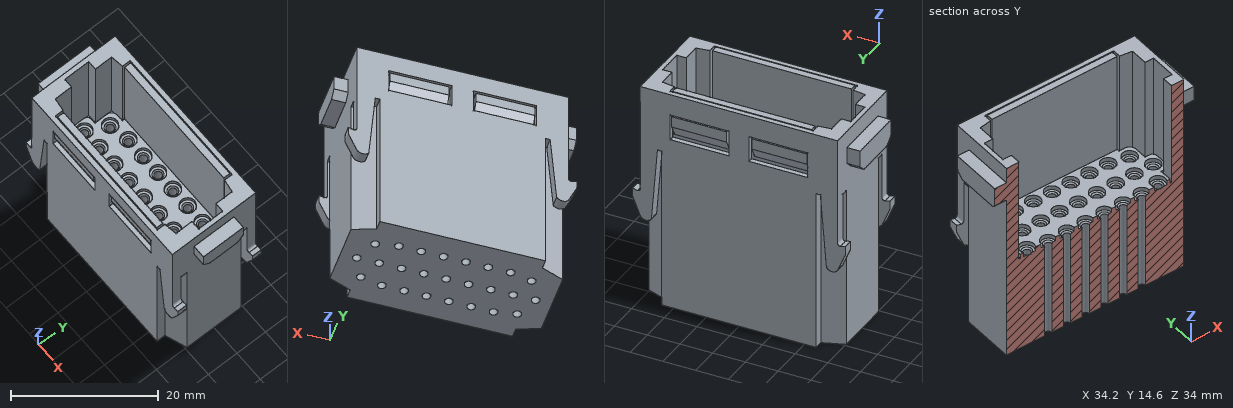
import cadquery as cq

overall_length = 34.2
height = 34.0
body_length = 30.15
body_width = 14.6
half_length = body_length / 2
half_width = body_width / 2

relief_top = 24.6
panel_half_length = 11.8
relief_end_y = 4.72
relief_panel_y = 5.9

arm_inner_y = 5.78
arm_root_x = 12.45
arm_tip_inner_x = 13.37
arm_tip_shoulder_z = 13.3
arm_tip_z = 12.82
hook_reach = 1.2
hook_bottom_z = 16.15
hook_top_z = 17.45
hook_top_drop = 0.2
hook_root_radius = 0.4
hook_corner_radius = 0.35

key_top = 31.4
key_bottom = 27.87
key_chamfer_height = 1.0
key_chamfer_width = 1.1
left_key_width = 9.1
right_key_width = 6.98

floor_z = 17.1
trench_depth = 0.7
end_bay_x = 14.35
end_bay_y = 2.1
cavity_x = 12.93
cavity_corner_y = 4.92
cavity_shoulder_y = 5.2
plate_pocket_x = 10.95
plate_pocket_y = 6.53

insert_end_x = 14.2
insert_end_y = 1.8
insert_x = 12.72
insert_y = 4.92
insert_end_radius = 0.75
insert_corner_radius = 1.1
plate_half_length = 10.65
plate_inner_y = 5.35
plate_outer_y = 6.4

window_center_x = 6.02
window_length = 8.95
window_top = 30.75
window_bottom = 26.8
tooth_length = 8.4
tooth_center_x = 6.12
tooth_top = 30.47
tooth_ridge_z = 28.83
tooth_bottom = 27.22
tooth_recess = 0.1

pitch = 3.18
row_y = 3.8
corner_hole_y = 3.18
middle_count = 9
row_count = 6
bore_diameter = 1.15
countersink_diameter = 1.6
counterbore_diameter = 2.35
counterbore_depth = 0.7


def mirror_to_four_corners(shape):
    """Return the shape together with its copies in the other three XY quadrants."""
    pair = shape.union(shape.mirror("YZ"))
    return pair.union(pair.mirror("XZ"))


def mirrored_outline(quarter):
    """Close an outline from its +X +Y quarter, listed from the X axis to the Y axis."""
    half = quarter + [(-x, y) for x, y in reversed(quarter)]
    return half + [(-x, -y) for x, y in half]


def prism(points, bottom, top):
    return cq.Workplane("XY").workplane(offset=bottom).polyline(points).close().extrude(top - bottom)


def box(x_size, y_size, x, y, bottom, top):
    return cq.Workplane("XY").box(x_size, y_size, top - bottom).translate((x, y, (bottom + top) / 2))


def make_body():
    body = box(body_length, body_width, 0, 0, 0, height)
    relief = prism(
        [
            (half_length, relief_end_y),
            (panel_half_length, relief_panel_y),
            (panel_half_length, half_width),
            (half_length, half_width),
        ],
        0,
        relief_top,
    )
    return body.cut(mirror_to_four_corners(relief))


def make_arms():
    """Four tapered arms hanging from the relief tops, each ending in an outward hook."""
    hook_x = half_length + hook_reach
    root_x = half_length + hook_root_radius
    root_z = hook_top_z - hook_top_drop
    tip_middle_x = (arm_tip_inner_x + half_length) / 2
    arm = (
        cq.Workplane("XZ", origin=(0, half_width, 0))
        .moveTo(arm_root_x, relief_top)
        .lineTo(arm_tip_inner_x, arm_tip_shoulder_z)
        .threePointArc((tip_middle_x, arm_tip_z), (half_length, arm_tip_shoulder_z))
        .lineTo(hook_x, hook_bottom_z)
        .lineTo(hook_x, hook_top_z)
        .lineTo(root_x, root_z)
        .radiusArc((half_length, root_z + hook_root_radius), hook_root_radius)
        .lineTo(half_length, relief_top)
        .close()
        .extrude(half_width - arm_inner_y)
    )
    hook_corner = cq.selectors.NearestToPointSelector((hook_x, (half_width + arm_inner_y) / 2, hook_bottom_z))
    arm = arm.edges(hook_corner).fillet(hook_corner_radius)
    return mirror_to_four_corners(arm)


def make_key(width, side):
    """Bar on one end face; its lower corners are bevelled. The side is -1 or 1 along X."""
    half = width / 2
    bevel_top = key_bottom + key_chamfer_height
    bevel_y = half - key_chamfer_width
    reach = side * (overall_length - body_length) / 2
    return (
        cq.Workplane("YZ", origin=(side * half_length, 0, 0))
        .polyline(
            [
                (-half, key_top),
                (half, key_top),
                (half, bevel_top),
                (bevel_y, key_bottom),
                (-bevel_y, key_bottom),
                (-half, bevel_top),
            ]
        )
        .close()
        .extrude(reach)
    )


def make_cavity():
    outline = mirrored_outline(
        [
            (end_bay_x, end_bay_y),
            (cavity_x, end_bay_y),
            (cavity_x, cavity_corner_y),
            (plate_pocket_x, cavity_shoulder_y),
            (plate_pocket_x, plate_pocket_y),
        ]
    )
    return prism(outline, floor_z - trench_depth, height)


def make_insert():
    """Raised floor carrying the contacts, with a tall plate along each long side."""
    base = floor_z - trench_depth
    middle = box(2 * insert_x, 2 * insert_y, 0, 0, base, floor_z)
    middle = middle.edges("|Z").fillet(insert_corner_radius)
    ends = box(2 * insert_end_x, 2 * insert_end_y, 0, 0, base, floor_z)
    ends = ends.edges("|Z").fillet(insert_end_radius)
    island = middle.union(ends)
    island = island.union(box(2 * plate_half_length, 2 * plate_outer_y, 0, 0, base, floor_z))
    plate_y = (plate_inner_y + plate_outer_y) / 2
    plate_thickness = plate_outer_y - plate_inner_y
    for side in (-1, 1):
        island = island.union(box(2 * plate_half_length, plate_thickness, 0, side * plate_y, base, height))
    return island


def make_windows():
    depth = half_width - plate_pocket_y
    window = box(
        window_length,
        depth,
        window_center_x,
        half_width - depth / 2,
        window_bottom,
        window_top,
    )
    return mirror_to_four_corners(window)


def make_teeth():
    """Snap teeth on the plates: upright face above the ridge, slope running inward below it."""
    face_y = half_width - tooth_recess
    tooth = (
        cq.Workplane("YZ", origin=(tooth_center_x - tooth_length / 2, 0, 0))
        .polyline(
            [
                (plate_inner_y, tooth_top),
                (face_y, tooth_top),
                (face_y, tooth_ridge_z),
                (plate_outer_y, tooth_bottom),
                (plate_inner_y, tooth_bottom),
            ]
        )
        .close()
        .extrude(tooth_length)
    )
    return mirror_to_four_corners(tooth)


def centered_row(count, y):
    return [((i - (count - 1) / 2) * pitch, y) for i in range(count)]


def contact_positions():
    positions = centered_row(middle_count, 0)
    corner_x = pitch * (row_count + 1) / 2
    for side in (-1, 1):
        positions += centered_row(row_count, side * row_y)
        positions += [(-corner_x, side * corner_hole_y), (corner_x, side * corner_hole_y)]
    return positions


def make_contact_holes():
    """Through bores, each countersunk at the bottom of a shallow counterbore."""
    seat_z = floor_z - counterbore_depth
    cone_depth = (countersink_diameter - bore_diameter) / 2
    hole = (
        cq.Workplane("XZ")
        .polyline(
            [
                (0, 0),
                (bore_diameter / 2, 0),
                (bore_diameter / 2, seat_z - cone_depth),
                (countersink_diameter / 2, seat_z),
                (counterbore_diameter / 2, seat_z),
                (counterbore_diameter / 2, floor_z),
                (0, floor_z),
            ]
        )
        .close()
        .revolve(360, (0, 0, 0), (0, 1, 0))
    )
    return cq.Workplane("XY").pushPoints(contact_positions()).eachpoint(hole.val(), combine=False)


shell = make_body().union(make_arms())
shell = shell.union(make_key(left_key_width, -1)).union(make_key(right_key_width, 1))
shell = shell.cut(make_cavity()).cut(make_windows())
result = shell.union(make_insert()).union(make_teeth()).cut(make_contact_holes())